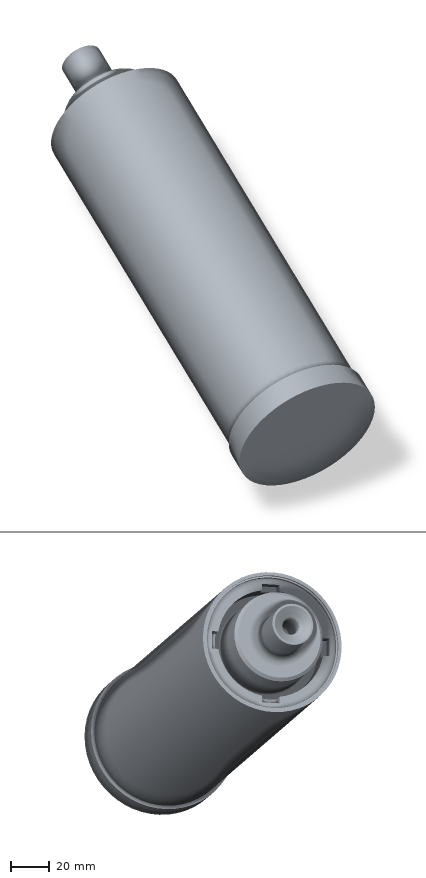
import cadquery as cq
import math

TOTAL_LENGTH = 268.8
FULL_TURN = 360.0

TUBE_START = 41.0
TUBE_DIAMETER = 75.5

LINER_DIAMETER = 72.0
LINER_BORE_DIAMETER = 70.5
LINER_SETBACK = 1.3

CAP_DIAMETER = 79.3
CAP_THICKNESS = 13.0

RING_SETBACK = 3.2
RING_THICKNESS = 12.5
RING_BORE_DIAMETER = 57.8
NOTCH_DIAMETER = 64.0
NOTCH_WIDTH = 9.5
NOTCH_DEPTH = 5.5
NOTCH_COUNT = 4

SHAFT_DIAMETER = 22.3
SHAFT_CHAMFER = 0.3
SHAFT_FILLET = 2.5
HUB_START = 27.2
HUB_DIAMETER = 48.0
HUB_CHAMFER = 1.5
HUB_FILLET = 0.8
FLANGE_THICKNESS = 13.5

COUNTERSINK_DIAMETER = 20.0
COUNTERSINK_ANGLE = 100.0
LEAD_IN_DIAMETER = 9.7
LEAD_IN_ANGLE = 60.0
DRILL_DIAMETER = 8.5
DRILL_DEPTH = 24.2
DRILL_TIP_ANGLE = 118.0

cap_start = TOTAL_LENGTH - CAP_THICKNESS
liner_start = TUBE_START + LINER_SETBACK
ring_start = TUBE_START + RING_SETBACK
flange_start = ring_start + RING_THICKNESS


def disc(diameter, start, length):
    """Solid cylinder along X."""
    return cq.Workplane("YZ", origin=(start, 0, 0)).circle(diameter / 2).extrude(length)


def washer(diameter, bore_diameter, start, length):
    """Cylinder along X with a coaxial through bore."""
    return disc(diameter, start, length).cut(disc(bore_diameter, start, length))


def cone_length(large_diameter, small_diameter, included_angle):
    """Axial length of a cone between two diameters."""
    return (large_diameter - small_diameter) / 2 / math.tan(math.radians(included_angle / 2))


def make_tube():
    return washer(TUBE_DIAMETER, LINER_DIAMETER, TUBE_START, cap_start - TUBE_START)


def make_liner():
    return washer(LINER_DIAMETER, LINER_BORE_DIAMETER, liner_start, cap_start - liner_start)


def make_end_cap():
    return disc(CAP_DIAMETER, cap_start, CAP_THICKNESS)


def make_lock_ring():
    ring = washer(LINER_BORE_DIAMETER, RING_BORE_DIAMETER, ring_start, RING_THICKNESS)
    notch = (
        cq.Workplane("YZ", origin=(ring_start, 0, 0))
        .center(NOTCH_DIAMETER / 4, 0)
        .rect(NOTCH_DIAMETER / 2, NOTCH_WIDTH)
        .extrude(NOTCH_DEPTH)
    )
    for i in range(NOTCH_COUNT):
        ring = ring.cut(notch.rotate((0, 0, 0), (1, 0, 0), i * FULL_TURN / NOTCH_COUNT))
    return ring


def make_centre_hole():
    lead_in_start = cone_length(COUNTERSINK_DIAMETER, LEAD_IN_DIAMETER, COUNTERSINK_ANGLE)
    drill_start = lead_in_start + cone_length(LEAD_IN_DIAMETER, DRILL_DIAMETER, LEAD_IN_ANGLE)
    tip_end = DRILL_DEPTH + cone_length(DRILL_DIAMETER, 0, DRILL_TIP_ANGLE)
    return (
        cq.Workplane("XY")
        .lineTo(0, COUNTERSINK_DIAMETER / 2)
        .lineTo(lead_in_start, LEAD_IN_DIAMETER / 2)
        .lineTo(drill_start, DRILL_DIAMETER / 2)
        .lineTo(DRILL_DEPTH, DRILL_DIAMETER / 2)
        .lineTo(tip_end, 0)
        .close()
        .revolve(FULL_TURN, (0, 0, 0), (1, 0, 0))
    )


def make_spindle():
    flange_end = flange_start + FLANGE_THICKNESS
    profile = (
        cq.Workplane("XY")
        .lineTo(0, SHAFT_DIAMETER / 2 - SHAFT_CHAMFER)
        .lineTo(SHAFT_CHAMFER, SHAFT_DIAMETER / 2)
        .lineTo(HUB_START - SHAFT_FILLET, SHAFT_DIAMETER / 2)
        .radiusArc((HUB_START, SHAFT_DIAMETER / 2 + SHAFT_FILLET), -SHAFT_FILLET)
        .lineTo(HUB_START, HUB_DIAMETER / 2 - HUB_CHAMFER)
        .lineTo(HUB_START + HUB_CHAMFER, HUB_DIAMETER / 2)
        .lineTo(flange_start - HUB_FILLET, HUB_DIAMETER / 2)
        .radiusArc((flange_start, HUB_DIAMETER / 2 + HUB_FILLET), -HUB_FILLET)
        .lineTo(flange_start, LINER_BORE_DIAMETER / 2)
        .lineTo(flange_end, LINER_BORE_DIAMETER / 2)
        .lineTo(flange_end, 0)
        .close()
    )
    spindle = profile.revolve(FULL_TURN, (0, 0, 0), (1, 0, 0))
    return spindle.cut(make_centre_hole())


tube = make_tube()
liner = make_liner()
end_cap = make_end_cap()
lock_ring = make_lock_ring()
spindle = make_spindle()

result = cq.Compound.makeCompound(
    [tube.val(), liner.val(), end_cap.val(), lock_ring.val(), spindle.val()]
)